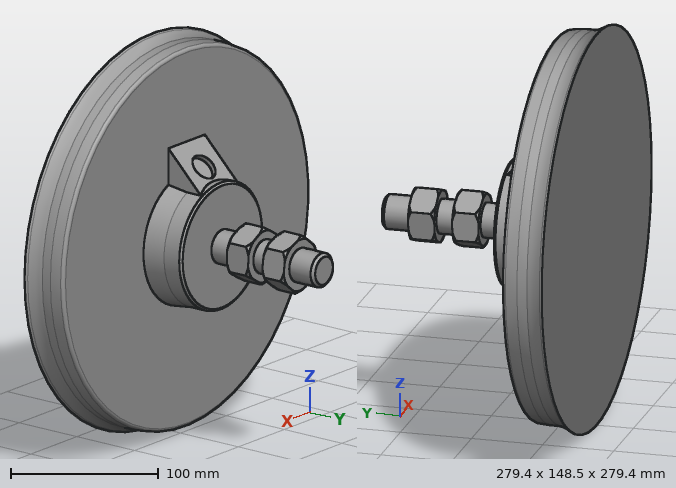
import cadquery as cq
import math


disc_radius = 139.7
lip_radius = 138.5
lip_y = 2.0
flare_mid_radius = 136.5
flare_mid_y = 6.5
flare_start_radius = 135.0
flare_start_y = 11.7
band_radius = 135.0
back_radius = 134.2
band_y = 18.7
disc_thickness = 29.3
disc_back_fillet = 2.5

boss_radius = 45.0
boss_base_radius = 47.0
boss_step_y = 45.5
boss_top_y = 60.5
boss_chamfer = 1.7

gusset_width = 39.7
gusset_base_z = 68.5
gusset_hole_diameter = 18.7
gusset_hole_depth = 4.0
gusset_hole_y = 44.5

stud_diameter = 24.0
stud_end_y = 148.5
stud_chamfer = 2.2
nut_across_flats = 35.2
nut_height = 18.5
nut_chamfer = 2.2
nut_placements = [(78.3, 1.5), (109.3, 8.5)]


def cylinder(diameter, start_y, length):
    """Cylinder along +Y starting at start_y."""
    return cq.Workplane("XZ", origin=(0, start_y, 0)).circle(diameter / 2).extrude(-length)


def make_disc():
    """Disc whose edge flares out towards the flat face."""
    profile = (
        cq.Workplane("XY")
        .lineTo(disc_radius, 0)
        .lineTo(lip_radius, lip_y)
        .threePointArc((flare_mid_radius, flare_mid_y), (flare_start_radius, flare_start_y))
        .lineTo(band_radius, band_y)
        .lineTo(back_radius, disc_thickness)
        .lineTo(0, disc_thickness)
        .close()
    )
    disc = profile.revolve(360, (0, 0, 0), (0, 1, 0))
    return disc.faces(">Y").edges().fillet(disc_back_fillet)


def make_boss():
    """Boss that widens towards the disc."""
    return (
        cq.Workplane("XY")
        .moveTo(0, disc_thickness)
        .lineTo(boss_base_radius, disc_thickness)
        .lineTo(boss_radius, boss_step_y)
        .lineTo(boss_radius, boss_top_y - boss_chamfer)
        .lineTo(boss_radius - boss_chamfer, boss_top_y)
        .lineTo(0, boss_top_y)
        .close()
        .revolve(360, (0, 0, 0), (0, 1, 0))
    )


def make_gusset():
    """45 degree wedge on the +Z side, ending where its sides meet the boss."""
    side_z = math.sqrt(boss_radius**2 - (gusset_width / 2) ** 2)
    peak_y = disc_thickness + gusset_base_z - side_z
    return (
        cq.Workplane("YZ")
        .moveTo(disc_thickness, 0)
        .lineTo(disc_thickness, gusset_base_z)
        .lineTo(peak_y, side_z)
        .lineTo(peak_y, 0)
        .close()
        .extrude(gusset_width / 2, both=True)
    )


def make_gusset_hole():
    """Blind hole square to the gusset slope."""
    hole_z = disc_thickness + gusset_base_z - gusset_hole_y
    slope = cq.Plane(origin=(0, gusset_hole_y, hole_z), xDir=(1, 0, 0), normal=(0, 1, 1))
    return cq.Workplane(slope).circle(gusset_hole_diameter / 2).extrude(-gusset_hole_depth)


def make_nut(start_y, turn):
    """Hexagon nut with both ends chamfered at the corners."""
    corner_diameter = nut_across_flats / math.cos(math.pi / 6)
    hexagon = (
        cq.Workplane("XZ", origin=(0, start_y, 0))
        .polygon(6, corner_diameter)
        .extrude(-nut_height)
        .rotate((0, 0, 0), (0, 1, 0), 30 - turn)
    )
    envelope = cylinder(corner_diameter, start_y, nut_height).edges().chamfer(nut_chamfer)
    return hexagon.intersect(envelope)


stud = cylinder(stud_diameter, disc_thickness, stud_end_y - disc_thickness)
stud = stud.faces(">Y").chamfer(stud_chamfer)

result = make_disc().union(make_boss()).union(make_gusset()).cut(make_gusset_hole()).union(stud)
for nut_start_y, nut_turn in nut_placements:
    result = result.union(make_nut(nut_start_y, nut_turn))